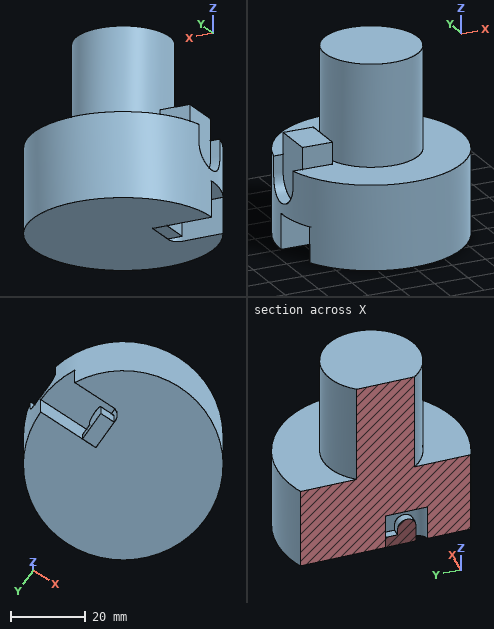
import cadquery as cq

base_diameter = 54.0
base_height = 24.95
shaft_diameter = 28.0
total_height = 55.0

key_width = 12.1
key_outer_x = -23.5
key_inner_x = -14.45
key_top_z = 31.35
key_bottom_z = 13.65

pocket_width = key_width
pocket_height = 10.5
pocket_back_x = -8.95
pocket_corner_radius = 2.75

latch_thickness = 4.4
latch_right_y = -8.8
latch_post_width = 5.4
latch_height = 8.05
latch_foot_height = 3.5

base_radius = base_diameter / 2


def make_key_shape(outer_x, inner_x):
    """Upright prism along X with a semicircular lower end."""
    half_width = key_width / 2
    arc_center_z = key_bottom_z + half_width
    return (
        cq.Workplane("YZ", origin=(outer_x, 0, 0))
        .moveTo(-half_width, key_top_z)
        .lineTo(-half_width, arc_center_z)
        .threePointArc((0, key_bottom_z), (half_width, arc_center_z))
        .lineTo(half_width, key_top_z)
        .close()
        .extrude(inner_x - outer_x)
    )


def make_pocket():
    """Pocket volume, with its inner -Y corner rounded."""
    depth = base_radius + pocket_back_x
    return (
        cq.Workplane("XY")
        .box(depth, pocket_width, pocket_height, centered=False)
        .translate((-base_radius, -pocket_width, 0))
        .edges("|Z and >X and <Y")
        .fillet(pocket_corner_radius)
    )


def make_housing():
    """Base and shaft, with the key slot and the bottom pocket cut out."""
    base = cq.Workplane("XY").circle(base_radius).extrude(base_height)
    shaft = cq.Workplane("XY").circle(shaft_diameter / 2).extrude(total_height)
    key_slot = make_key_shape(-base_radius, key_inner_x)
    return base.union(shaft).cut(key_slot).cut(make_pocket())


def make_latch():
    """Round-topped post whose foot reaches the pocket wall at Y = 0."""
    post_radius = latch_post_width / 2
    post_left_y = latch_right_y + latch_post_width
    arc_center_z = latch_height - post_radius
    return (
        cq.Workplane("YZ", origin=(pocket_back_x - latch_thickness, 0, 0))
        .moveTo(0, 0)
        .lineTo(0, latch_foot_height)
        .lineTo(post_left_y, latch_foot_height)
        .lineTo(post_left_y, arc_center_z)
        .threePointArc(
            (latch_right_y + post_radius, latch_height),
            (latch_right_y, arc_center_z),
        )
        .lineTo(latch_right_y, 0)
        .close()
        .extrude(latch_thickness)
    )


housing = make_housing()
key = make_key_shape(key_outer_x, key_inner_x)
latch = make_latch()

result = cq.Compound.makeCompound([housing.solids().val(), key.val(), latch.val()])